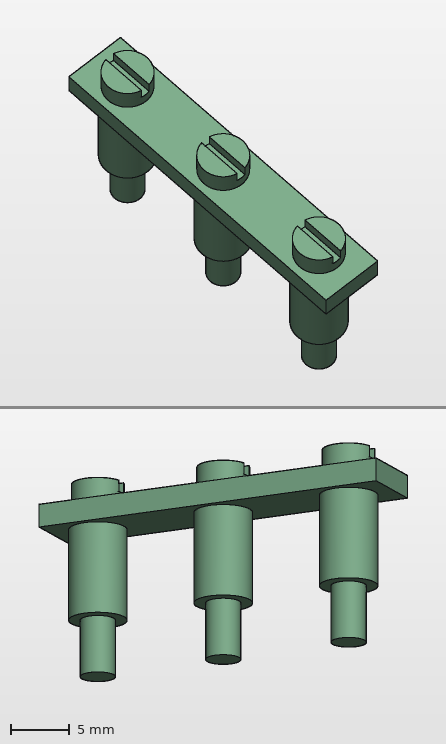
import cadquery as cq

bar_length = 32.0
bar_width = 6.0
bar_thickness = 2.0

sleeve_diameter = 5.0
sleeve_length = 8.0

screw_pitch = 11.9
screw_positions = [-screw_pitch, 0, screw_pitch]
shank_diameter = 3.0
tip_length = 5.0
head_diameter = 4.5
head_height = 2.0
slot_width = 0.9
slot_depth = 1.0

shank_length = bar_thickness + sleeve_length + tip_length
head_top = bar_thickness + head_height


def make_bar():
    """Flat bar with a clearance-free hole for each screw."""
    return (
        cq.Workplane("XY")
        .box(bar_length, bar_width, bar_thickness, centered=(True, True, False))
        .faces(">Z")
        .workplane()
        .pushPoints([(x, 0) for x in screw_positions])
        .hole(shank_diameter)
    )


def make_sleeve(x):
    """Tubular spacer with its top against the underside of the bar."""
    return (
        cq.Workplane("XY", origin=(x, 0, -sleeve_length))
        .circle(sleeve_diameter / 2)
        .circle(shank_diameter / 2)
        .extrude(sleeve_length)
    )


def make_screw(x):
    """Cylindrical-head screw with its driver slot running along X."""
    head = (
        cq.Workplane("XY", origin=(x, 0, bar_thickness))
        .circle(head_diameter / 2)
        .extrude(head_height)
    )
    shank = (
        cq.Workplane("XY", origin=(x, 0, bar_thickness))
        .circle(shank_diameter / 2)
        .extrude(-shank_length)
    )
    slot = (
        cq.Workplane("XY", origin=(x, 0, head_top - slot_depth))
        .rect(head_diameter, slot_width)
        .extrude(slot_depth)
    )
    return head.union(shank).cut(slot)


bar = make_bar()
sleeves = [make_sleeve(x) for x in screw_positions]
screws = [make_screw(x) for x in screw_positions]

result = cq.Compound.makeCompound(
    [bar.val()]
    + [sleeve.val() for sleeve in sleeves]
    + [screw.val() for screw in screws]
)